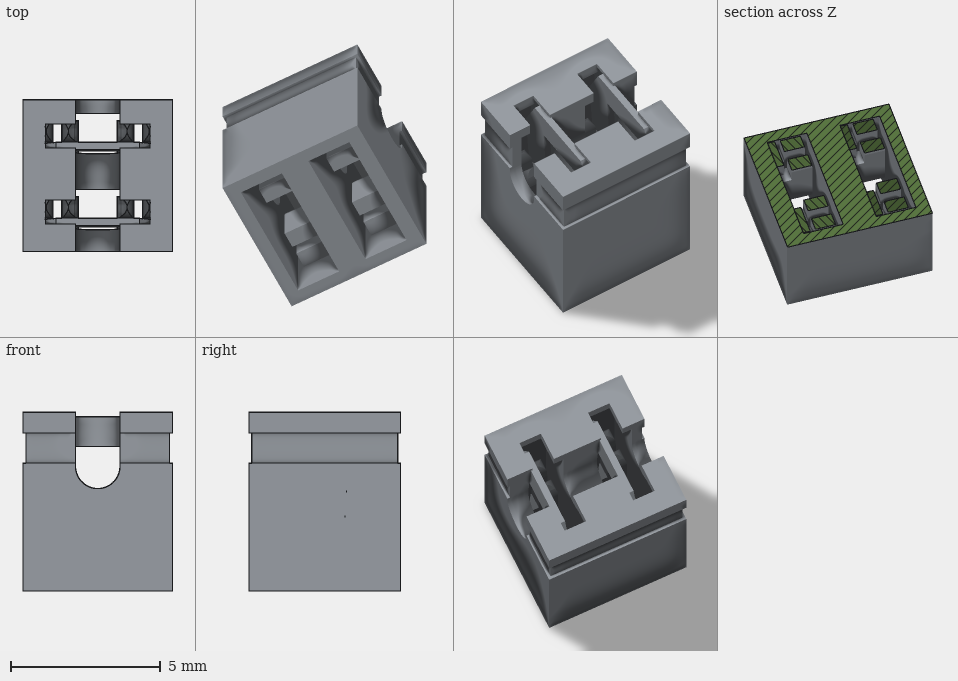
import cadquery as cq


width = 5.0
pitch = 2.54
depth = 2 * pitch
height = 5.98
neck_bottom = 4.28
neck_top = 5.28
neck_inset = 0.1

slot_radius = 0.74
slot_centre_z = 4.17

wall_slope = 0.06
ledge_z = 5.83
shoulder_z = 5.55
wall_top_y = 0.877
cavity_back_y = 2.07
cavity_half_width = 2.07
mouth_front_y = 0.932
mouth_back_y = 1.725
mouth_half_width = 1.75

sheet_thickness = 0.24
bridge_height = 1.0
sheet_half_width = 2.05
sheet_corner_width = 0.66
sheet_corner_drop = 1.25
leg_inner_x = 0.95
sheet_bottom = 1.5

pin_x = 1.35
nip_half_gap = 0.14
ridge_offset = 0.37
shoulder_offset = 0.57
heel_offset = 0.7
ridge_z = 3.36
prong_shoulder_z = 3.2
heel_z = 2.9
heel_bulge = 0.015
nip_z = 2.7
throat_offset = 0.17
throat_z = 3.0
lead_in_bulge = (0.03, 0.05)
prong_tip_y = 1.84
dome_radius = 0.36
prong_root_z = 2.5


def wall_y(z):
    """Y of the sloped front wall at height z."""
    return wall_top_y - wall_slope * (ledge_z - z)


def box(x_range, y_range, z_range):
    """Axis-aligned block spanning the given ranges."""
    size = [high - low for low, high in (x_range, y_range, z_range)]
    corner = cq.Vector(x_range[0], y_range[0], z_range[0])
    return cq.Workplane("XY").box(*size, centered=False).translate(corner)


def extrude_along_x(points, half_width):
    """Extrude a closed (y, z) outline symmetrically about X = 0."""
    return cq.Workplane("YZ").polyline(points).close().extrude(half_width, both=True)


def make_cavity():
    """Space for one contact, open at the top and at the underside."""
    lower = extrude_along_x(
        [
            (wall_y(0), 0),
            (cavity_back_y, 0),
            (cavity_back_y, shoulder_z),
            (wall_y(shoulder_z), shoulder_z),
        ],
        cavity_half_width,
    )
    under_lip = extrude_along_x(
        [
            (wall_y(shoulder_z), shoulder_z),
            (mouth_back_y, shoulder_z),
            (mouth_back_y, ledge_z),
            (wall_top_y, ledge_z),
        ],
        mouth_half_width,
    )
    mouth = box(
        (-mouth_half_width, mouth_half_width),
        (mouth_front_y, mouth_back_y),
        (ledge_z, height),
    )
    return lower.union(under_lip).union(mouth)


def make_housing(position_offsets):
    body = cq.Workplane("XY").box(width, depth, neck_bottom, centered=(True, True, False))
    neck = (
        cq.Workplane("XY", origin=(0, 0, neck_bottom))
        .rect(width - 2 * neck_inset, depth - 2 * neck_inset)
        .extrude(neck_top - neck_bottom)
    )
    collar = (
        cq.Workplane("XY", origin=(0, 0, neck_top)).rect(width, depth).extrude(height - neck_top)
    )
    slot = (
        cq.Workplane("XZ")
        .moveTo(-slot_radius, height)
        .lineTo(-slot_radius, slot_centre_z)
        .threePointArc((0, slot_centre_z - slot_radius), (slot_radius, slot_centre_z))
        .lineTo(slot_radius, height)
        .close()
        .extrude(depth / 2, both=True)
    )
    housing = body.union(neck).union(collar).cut(slot)
    for offset in position_offsets:
        housing = housing.cut(make_cavity().translate((0, offset, 0)))
    return housing


def make_sheet():
    """Inverted U: a bridge across the slot with a leg on either side."""
    sheet = extrude_along_x(
        [
            (wall_y(sheet_bottom), sheet_bottom),
            (wall_y(sheet_bottom) + sheet_thickness, sheet_bottom),
            (wall_top_y + sheet_thickness, ledge_z),
            (wall_top_y, ledge_z),
        ],
        sheet_half_width,
    )
    corner_x = sheet_half_width - sheet_corner_width
    corner_z = ledge_z - sheet_corner_drop
    bridge_z = ledge_z - bridge_height
    half_outline = (
        cq.Workplane("XZ")
        .moveTo(0, ledge_z)
        .lineTo(corner_x, ledge_z)
        .lineTo(sheet_half_width, corner_z)
        .lineTo(sheet_half_width, sheet_bottom)
        .lineTo(leg_inner_x, sheet_bottom)
        .lineTo(leg_inner_x, bridge_z)
        .lineTo(0, bridge_z)
        .close()
        .extrude(depth / 2, both=True)
    )
    outline = half_outline.union(half_outline.mirror("YZ"))
    return sheet.intersect(outline)


def make_prong(pin_centre, side):
    """One prong; side is +1 or -1, the direction from the pin centre along X."""

    def at(offset, z):
        return (pin_centre + side * offset, z)

    lead_in_middle = at(
        (throat_offset + ridge_offset) / 2 - lead_in_bulge[0],
        (throat_z + ridge_z) / 2 + lead_in_bulge[1],
    )
    heel_middle = at(
        (shoulder_offset + heel_offset) / 2 + heel_bulge,
        (prong_shoulder_z + heel_z) / 2 + heel_bulge,
    )
    profile = (
        cq.Workplane("XZ")
        .moveTo(*at(nip_half_gap, sheet_bottom))
        .lineTo(*at(nip_half_gap, nip_z))
        .lineTo(*at(throat_offset, throat_z))
        .threePointArc(lead_in_middle, at(ridge_offset, ridge_z))
        .lineTo(*at(shoulder_offset, prong_shoulder_z))
        .threePointArc(heel_middle, at(heel_offset, heel_z))
        .lineTo(*at(heel_offset, sheet_bottom))
        .close()
        .extrude(depth / 2, both=True)
    )
    root_y = wall_y(sheet_bottom) + sheet_thickness / 2
    lobe_front_y = prong_tip_y - 2 * dome_radius
    dome_z = ridge_z - dome_radius
    side_shape = (
        cq.Workplane("YZ")
        .moveTo(root_y, sheet_bottom)
        .lineTo(prong_tip_y, sheet_bottom)
        .lineTo(prong_tip_y, dome_z)
        .threePointArc((prong_tip_y - dome_radius, ridge_z), (lobe_front_y, dome_z))
        .lineTo(lobe_front_y, prong_root_z)
        .lineTo(root_y, prong_root_z)
        .close()
        .extrude(width / 2, both=True)
    )
    return profile.intersect(side_shape)


def make_contact():
    """Sheet and four prongs joined into one solid."""
    contact = make_sheet()
    for pin_centre in (-pin_x, pin_x):
        for side in (-1, 1):
            contact = contact.union(make_prong(pin_centre, side))
    return contact


position_offsets = (-pitch, 0)
housing = make_housing(position_offsets)
contacts = [make_contact().translate((0, offset, 0)) for offset in position_offsets]

result = cq.Compound.makeCompound([housing.val(), *[contact.val() for contact in contacts]])